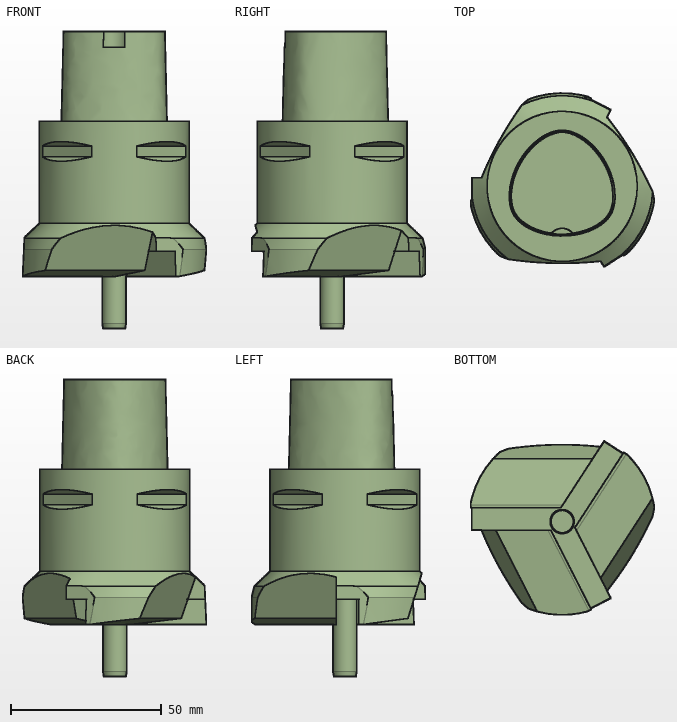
import cadquery as cq
import math

total_height = 99.0
flange_top = 69.1
head_top = 35.0
cone_bottom = 30.1
rim_bottom = 26.4
head_bottom = 17.3

body_radius = 25.0
cone_radius = 30.2
head_radius = 31.1
pin_radius = 4.01
pin_chamfer_height = 1.8
pin_chamfer_width = 0.3

shank_base_radius = 17.6
shank_top_radius = 16.9
lobe_height = 1.1
outline_points = 36

key_radius = 4.6
key_center_y = -18.5
key_depth = 5.3

slot_count = 4
slot_floor_distance = 22.2
slot_center_z = 59.0
slot_floor_height = 3.6
slot_mouth_height = 6.5

lobe_angles = [0, 123, 243]
rake_y = 2.9
seat_back_y = -4.7
seat_top = 25.7
land_rim_distance = 30.1
land_bottom_distance = 30.5
relief_start_y = -5.5
relief_end_y = -21.0
relief_end_z = 19.4
flute_top_y = -25.8
pin_root = seat_top + 2
reach = 49.5


def rotate_z(shape, angle):
    return shape.rotate((0, 0, 0), (0, 0, 1), angle)


def box_between(x_range, y_range, z_range):
    """Box filling the given ranges along each axis."""
    sizes = [high - low for low, high in (x_range, y_range, z_range)]
    corner = (x_range[0], y_range[0], z_range[0])
    return cq.Workplane("XY").box(*sizes, centered=False).translate(corner)


def make_body():
    """Flange, conical shoulder and cutter head as one turned shape."""
    profile = [
        (0, head_bottom),
        (head_radius, head_bottom),
        (head_radius, rim_bottom),
        (cone_radius, cone_bottom),
        (body_radius, head_top),
        (body_radius, flange_top),
        (0, flange_top),
    ]
    return cq.Workplane("XZ").polyline(profile).close().revolve(360, (0, 0, 0), (0, 1, 0))


def make_pin():
    """Pilot pin with a chamfered tip, rooted at the roof of the insert seats."""
    profile = [
        (0, 0),
        (pin_radius - pin_chamfer_width, 0),
        (pin_radius, pin_chamfer_height),
        (pin_radius, pin_root),
        (0, pin_root),
    ]
    return cq.Workplane("XZ").polyline(profile).close().revolve(360, (0, 0, 0), (0, 1, 0))


def shank_outline(mean_radius):
    """Constant-width outline with one lobe toward +Y, from its support function."""
    points = []
    for i in range(outline_points):
        angle = 2 * math.pi * i / outline_points
        lobe_phase = 3 * (angle - math.pi / 2)
        support = mean_radius + lobe_height * math.cos(lobe_phase)
        slope = -3 * lobe_height * math.sin(lobe_phase)
        x = support * math.cos(angle) - slope * math.sin(angle)
        y = support * math.sin(angle) + slope * math.cos(angle)
        points.append((x, y))
    return points


def make_shank():
    shank = (
        cq.Workplane("XY", origin=(0, 0, flange_top))
        .spline(shank_outline(shank_base_radius), periodic=True).close()
        .workplane(offset=total_height - flange_top)
        .spline(shank_outline(shank_top_radius), periodic=True).close()
        .loft(ruled=True)
    )
    key = (
        cq.Workplane("XY", origin=(0, key_center_y, total_height - key_depth))
        .circle(key_radius)
        .extrude(key_depth)
    )
    return shank.cut(key)


def gripper_slot():
    """Slot with a flat floor and flared sides, opening toward +X."""
    flare = (slot_mouth_height - slot_floor_height) / 2
    depth = body_radius - slot_floor_distance
    profile = [
        (slot_floor_distance, slot_center_z - slot_floor_height / 2),
        (slot_floor_distance + 2 * depth, slot_center_z - slot_floor_height / 2 - 2 * flare),
        (slot_floor_distance + 2 * depth, slot_center_z + slot_floor_height / 2 + 2 * flare),
        (slot_floor_distance, slot_center_z + slot_floor_height / 2),
    ]
    return cq.Workplane("XZ").polyline(profile).close().extrude(body_radius, both=True)


def flute(pitch):
    """Bottom relief and tilted flat behind a lobe, ending at the next lobe's rake face."""
    flute_slope = (flute_top_y - relief_end_y) / (head_top - relief_end_z)
    above_shoulder = head_top + 1
    profile = [
        (relief_start_y, 0),
        (relief_start_y, head_bottom),
        (relief_end_y, relief_end_z),
        (relief_end_y + flute_slope * (above_shoulder - relief_end_z), above_shoulder),
        (-reach, above_shoulder),
        (-reach, 0),
    ]
    cutter = cq.Workplane("YZ").polyline(profile).close().extrude(reach, both=True)
    ahead_of_rake = box_between((-2 * reach, 2 * reach), (rake_y, 2 * reach), (0, total_height))
    return cutter.intersect(rotate_z(ahead_of_rake, pitch))


def insert_seat():
    """Pocket under the leading corner of a lobe, running in to the axis."""
    return box_between((-reach, 0), (seat_back_y, rake_y), (0, seat_top))


def leading_land():
    """Material outside the slightly drafted flat at the leading edge of a lobe."""
    draft = (land_bottom_distance - land_rim_distance) / (rim_bottom - head_bottom)
    profile = [
        (-land_bottom_distance, head_bottom),
        (-land_bottom_distance + draft * (head_top - head_bottom), head_top),
        (-reach, head_top),
        (-reach, head_bottom),
    ]
    return cq.Workplane("XZ").polyline(profile).close().extrude(reach, both=True)


result = make_body().union(make_shank())

for i in range(slot_count):
    result = result.cut(rotate_z(gripper_slot(), 45 + i * 360 / slot_count))

for i, angle in enumerate(lobe_angles):
    next_angle = lobe_angles[(i + 1) % len(lobe_angles)]
    pitch = (next_angle - angle) % 360
    for cutter in (flute(pitch), insert_seat(), leading_land()):
        result = result.cut(rotate_z(cutter, angle))

result = result.union(make_pin())